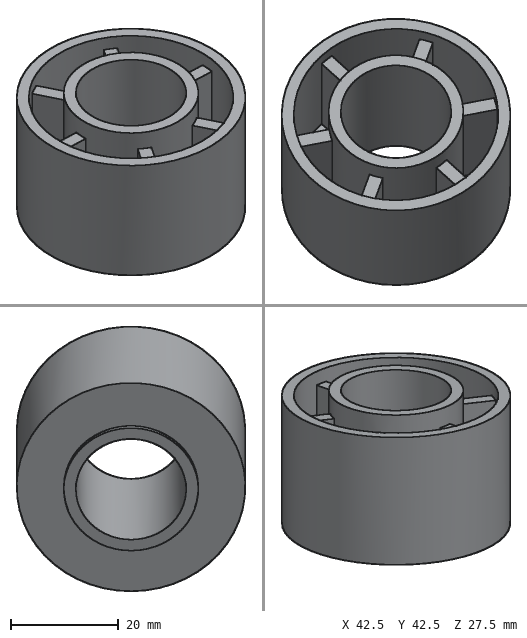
import cadquery as cq

rim_outer_diameter = 42.5
rim_width = 25.5
bore_diameter = 20.5
wall_thickness = 2.25
hub_overhang = 1.0
rib_count = 6
rib_thickness = 2.6
rib_recess = 2.75
wall_overlap = 0.5

rim_inner_diameter = rim_outer_diameter - 2 * wall_thickness
hub_outer_diameter = bore_diameter + 2 * wall_thickness
hub_length = rim_width + 2 * hub_overhang
rim_bottom = -rim_width / 2
hub_bottom = -hub_length / 2
rib_height = rim_width - rib_recess
joint_inner_radius = hub_outer_diameter / 2 - wall_overlap
joint_outer_radius = rim_inner_diameter / 2 + wall_overlap


def ring(outer_diameter, inner_diameter, bottom, height):
    """Ring around the Z axis, rising from the given bottom level."""
    return (
        cq.Workplane("XY")
        .workplane(offset=bottom)
        .circle(outer_diameter / 2)
        .circle(inner_diameter / 2)
        .extrude(height)
    )


def rib(angle):
    """Radial rib joining hub and rim at the given angle about Z."""
    span = joint_outer_radius - joint_inner_radius
    return (
        cq.Workplane("XY")
        .box(span, rib_thickness, rib_height, centered=(False, True, False))
        .translate((joint_inner_radius, 0, rim_bottom))
        .rotate((0, 0, 0), (0, 0, 1), angle)
    )


rim = ring(rim_outer_diameter, rim_inner_diameter, rim_bottom, rim_width)
hub = ring(hub_outer_diameter, bore_diameter, hub_bottom, hub_length)

floor = ring(2 * joint_outer_radius, 2 * joint_inner_radius, rim_bottom, wall_thickness)

result = rim.union(hub).union(floor)
for index in range(rib_count):
    result = result.union(rib(index * 360 / rib_count))
result = result.clean()